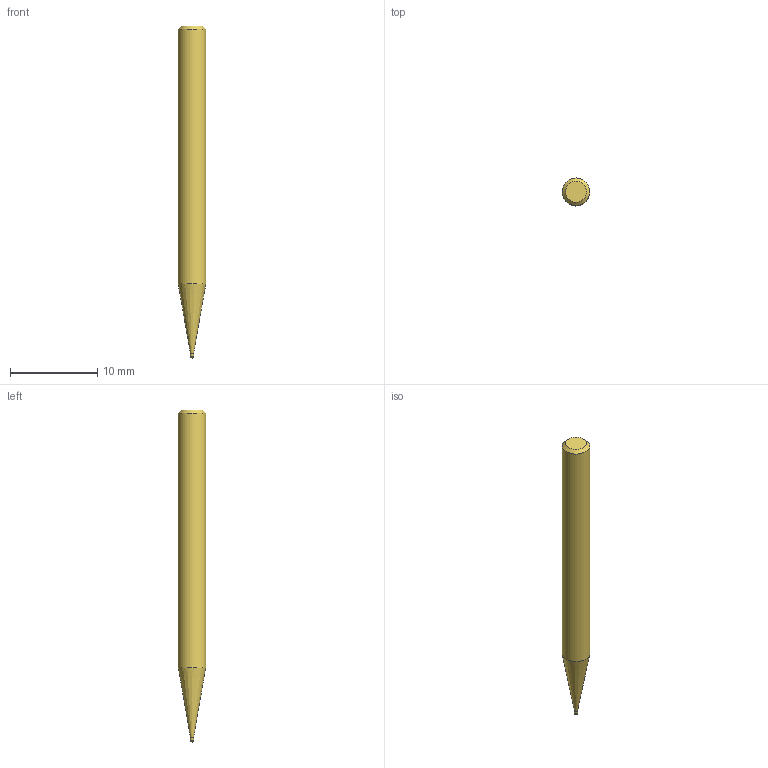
import cadquery as cq
import math

overall_length = 38.1
shank_diameter = 3.175
shank_chamfer = 0.381
tip_diameter = 0.3556
tip_length = 1.5 * tip_diameter
taper_length = 8.0

shank_radius = shank_diameter / 2
tip_radius = tip_diameter / 2
shank_start_z = tip_length + taper_length


def tool_half_profile():
    """Closed half section in the XZ plane, with the tool axis along Z."""
    ball_offset = tip_radius * math.sin(math.pi / 4)
    ball_middle = (ball_offset, tip_radius - ball_offset)
    return (
        cq.Workplane("XZ")
        .moveTo(0, 0)
        .threePointArc(ball_middle, (tip_radius, tip_radius))
        .lineTo(tip_radius, tip_length)
        .lineTo(shank_radius, shank_start_z)
        .lineTo(shank_radius, overall_length - shank_chamfer)
        .lineTo(shank_radius - shank_chamfer, overall_length)
        .lineTo(0, overall_length)
        .close()
    )


result = tool_half_profile().revolve(360, (0, 0, 0), (0, 1, 0))